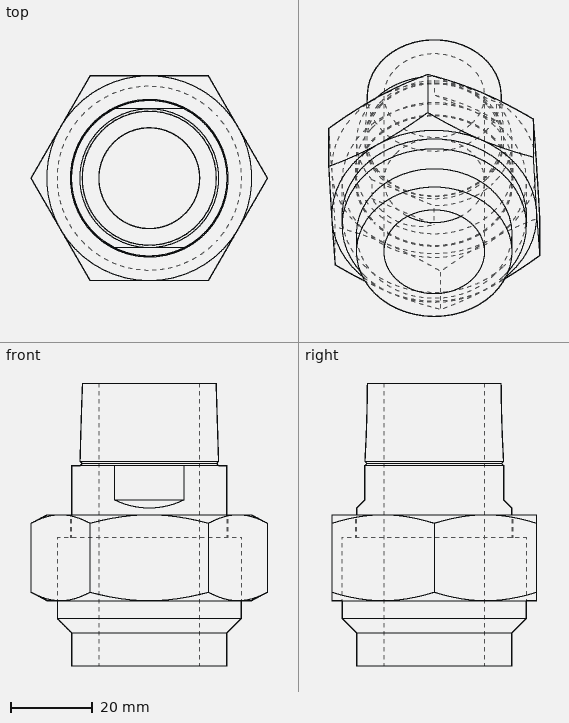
import cadquery as cq
import math

TOTAL_HEIGHT = 69.0
BORE_RADIUS = 12.3

NUT_ACROSS_FLATS = 50.0
NUT_BOTTOM = 15.95
NUT_TOP = 36.9
NUT_CHAMFER_HEIGHT = 2.1
NUT_LIP_THICKNESS = 5.5
NUT_CLEARANCE = 0.3
NUT_CORNER_RADIUS = NUT_ACROSS_FLATS / math.sqrt(3)

PIPE_RADIUS = 19.0
COLLAR_RADIUS = 22.5
PIPE_TOP = 8.1
COLLAR_BOTTOM = PIPE_TOP + COLLAR_RADIUS - PIPE_RADIUS
COLLAR_TOP = NUT_TOP - NUT_LIP_THICKNESS

SHOULDER_TOP = 48.9
WRENCH_FLAT_OFFSET = 17.0
WRENCH_FLAT_BOTTOM = 40.6
TAPER_BOTTOM = 49.95
TAPER_RATIO = 1 / 16
TAPER_TOP_RADIUS = 16.35
TAPER_BOTTOM_RADIUS = TAPER_TOP_RADIUS + (TOTAL_HEIGHT - TAPER_BOTTOM) * TAPER_RATIO / 2
GROOVE_DEPTH = (TAPER_BOTTOM - SHOULDER_TOP) / 2


def revolve_profile(points):
    """Revolve a closed outline of (radius, height) points about the Z axis."""
    return cq.Workplane("XZ").polyline(points).close().revolve(360, (0, 0), (0, 1))


def make_socket():
    return revolve_profile([
        (BORE_RADIUS, 0),
        (PIPE_RADIUS, 0),
        (PIPE_RADIUS, PIPE_TOP),
        (COLLAR_RADIUS, COLLAR_BOTTOM),
        (COLLAR_RADIUS, COLLAR_TOP),
        (BORE_RADIUS, COLLAR_TOP),
    ])


def make_nut():
    hexagon = (
        cq.Workplane("XY", origin=(0, 0, NUT_BOTTOM))
        .polygon(6, 2 * NUT_CORNER_RADIUS)
        .extrude(NUT_TOP - NUT_BOTTOM)
    )
    face_radius = NUT_ACROSS_FLATS / 2
    lip_radius = PIPE_RADIUS + NUT_CLEARANCE
    turned_blank = revolve_profile([
        (COLLAR_RADIUS, NUT_BOTTOM),
        (face_radius, NUT_BOTTOM),
        (NUT_CORNER_RADIUS, NUT_BOTTOM + NUT_CHAMFER_HEIGHT),
        (NUT_CORNER_RADIUS, NUT_TOP - NUT_CHAMFER_HEIGHT),
        (face_radius, NUT_TOP),
        (lip_radius, NUT_TOP),
        (lip_radius, COLLAR_TOP),
        (COLLAR_RADIUS, COLLAR_TOP),
    ])
    return hexagon.intersect(turned_blank)


def make_wrench_flat_cutter(side):
    """Cutter for one flat with a 45 degree run-out; side is +1 or -1 along Y."""
    flat_depth = PIPE_RADIUS - WRENCH_FLAT_OFFSET
    outline = [
        (side * WRENCH_FLAT_OFFSET, SHOULDER_TOP),
        (side * WRENCH_FLAT_OFFSET, WRENCH_FLAT_BOTTOM),
        (side * PIPE_RADIUS, WRENCH_FLAT_BOTTOM - flat_depth),
        (side * PIPE_RADIUS, SHOULDER_TOP),
    ]
    return cq.Workplane("YZ").polyline(outline).close().extrude(PIPE_RADIUS, both=True)


def make_tailpiece():
    tailpiece = revolve_profile([
        (BORE_RADIUS, COLLAR_TOP),
        (PIPE_RADIUS, COLLAR_TOP),
        (PIPE_RADIUS, SHOULDER_TOP),
        (TAPER_BOTTOM_RADIUS, SHOULDER_TOP),
        (TAPER_BOTTOM_RADIUS - GROOVE_DEPTH, SHOULDER_TOP + GROOVE_DEPTH),
        (TAPER_BOTTOM_RADIUS, TAPER_BOTTOM),
        (TAPER_TOP_RADIUS, TOTAL_HEIGHT),
        (BORE_RADIUS, TOTAL_HEIGHT),
    ])
    for side in (-1, 1):
        tailpiece = tailpiece.cut(make_wrench_flat_cutter(side))
    return tailpiece


socket = make_socket()
nut = make_nut()
tailpiece = make_tailpiece()

result = cq.Compound.makeCompound([socket.val(), *nut.solids().vals(), *tailpiece.solids().vals()])